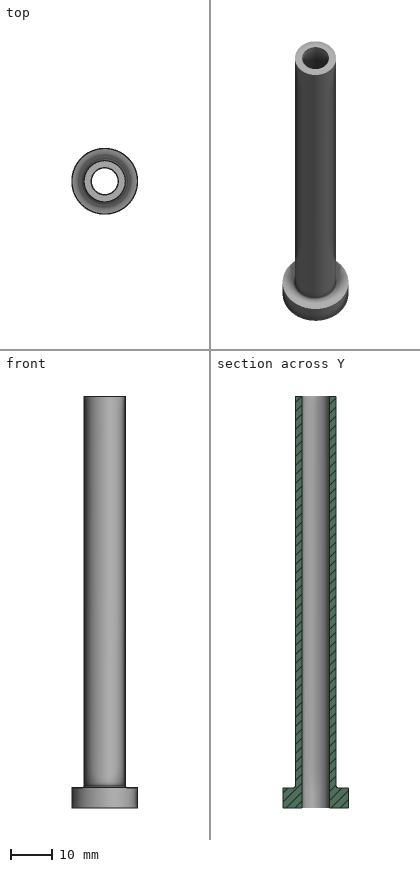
import cadquery as cq

total_length = 100.0
head_diameter = 16.0
head_height = 5.0
shank_diameter = 10.0
bore_diameter = 6.5
root_fillet_radius = 0.5

head_radius = head_diameter / 2
shank_radius = shank_diameter / 2
bore_radius = bore_diameter / 2

fillet_top = head_height + root_fillet_radius
fillet_edge = shank_radius + root_fillet_radius

half_section = (
    cq.Workplane("XZ")
    .moveTo(bore_radius, 0)
    .lineTo(head_radius, 0)
    .lineTo(head_radius, head_height)
    .lineTo(fillet_edge, head_height)
    .radiusArc((shank_radius, fillet_top), root_fillet_radius)
    .lineTo(shank_radius, total_length)
    .lineTo(bore_radius, total_length)
    .close()
)

result = half_section.revolve(360, (0, 0, 0), (0, 1, 0))